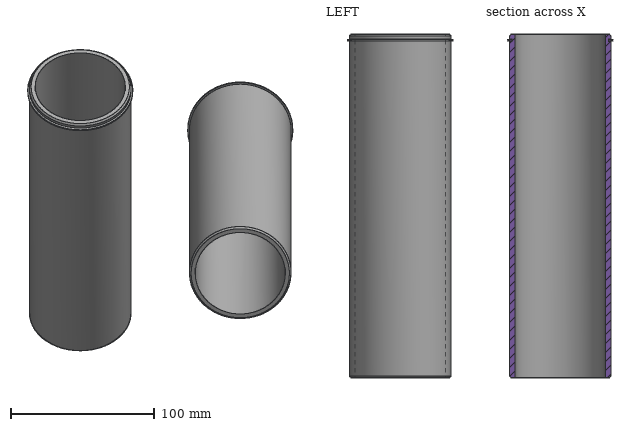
import cadquery as cq

tube_length = 240.0
tube_outer_radius = 35.5
tube_bore_radius = 31.5
end_chamfer = 1.2

ring_outer_radius = 36.7
ring_inner_radius = 34.0
ring_height = 1.0
groove_top_offset = 3.4
groove_clearance = 0.5
groove_width = ring_height + groove_clearance
groove_bottom_z = tube_length - groove_top_offset - groove_width


def make_annulus(height):
    """Flat annulus about the Z axis that rises from the groove's lower wall."""
    return (
        cq.Workplane("XY")
        .workplane(offset=groove_bottom_z)
        .circle(ring_outer_radius)
        .circle(ring_inner_radius)
        .extrude(height)
    )


def make_tube():
    """Straight tube with chamfered outer ends and a groove for the ring."""
    body = cq.Workplane("XY").circle(tube_outer_radius).extrude(tube_length)
    body = body.faces("<Z or >Z").edges().chamfer(end_chamfer)
    bore = cq.Workplane("XY").circle(tube_bore_radius).extrude(tube_length)
    groove = make_annulus(groove_width)
    return body.cut(bore).cut(groove)


def make_retaining_ring():
    """Ring that rests on the groove's lower wall and stands proud of the tube."""
    return make_annulus(ring_height)


tube = make_tube()
retaining_ring = make_retaining_ring()

result = cq.Compound.makeCompound([tube.val(), retaining_ring.val()])